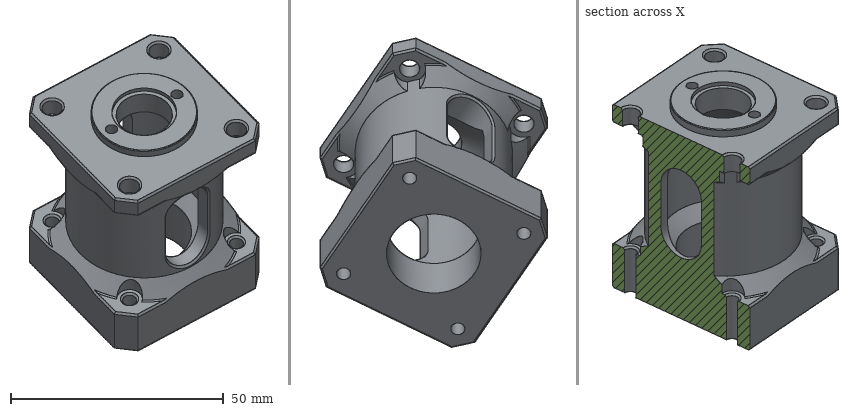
import cadquery as cq
import math

SIDE = 42.0
CORNER_CUT = 4.0
EDGE = 0.5

HEIGHT = 54.0
BOSS_HEIGHT = 2.0
BASE_PAD = 12.65
TOP_PAD = 46.85
SHAFT_BOTTOM = 16.5
SHAFT_TOP = 43.0

SEAT_EDGE = 0.25

SHAFT_DIA = 37.0
BOSS_DIA = 25.0
BOSS_EDGE = 0.2
BORE_DIA = 13.2
RECESS_DIA = 15.2
RECESS_DEPTH = 1.0
PIN_DIA = 2.8
PIN_OFFSET = 9.5

CAVITY_DIA = 29.0
REGISTER_DIA = 22.2

SCREW_OFFSET = 15.5
TOP_SCREW_DIA = 4.75
BASE_SCREW_DIA = 3.3
TOP_POCKET_DIA = 7.55
BASE_POCKET_DIA = 6.05

WINDOW_WIDTH = 12.15
WINDOW_HEIGHT = 24.6
WINDOW_EDGE = 0.55

CLEARANCE = 0.05

TOP_FACE = HEIGHT - BOSS_HEIGHT
MID_HEIGHT = (SHAFT_BOTTOM + SHAFT_TOP) / 2
SHAFT_RADIUS = SHAFT_DIA / 2
SCREWS = [(i * SCREW_OFFSET, j * SCREW_OFFSET) for i in (-1, 1) for j in (-1, 1)]
PINS = [(0, -PIN_OFFSET), (0, PIN_OFFSET)]


def cylinders(diameter, z_low, z_high, points=((0, 0),)):
    """Vertical cylinders between two heights, one at each point."""
    base = cq.Workplane("XY", origin=(0, 0, z_low))
    return base.pushPoints(points).circle(diameter / 2).extrude(z_high - z_low)


def flange_block(z_low, z_high, side, corner_cut):
    """Square block with its four vertical corners cut at 45 degrees."""
    block = cq.Workplane("XY", origin=(0, 0, z_low)).rect(side, side).extrude(z_high - z_low)
    return block.edges("|Z").chamfer(corner_cut)


def frustum(radius_a, z_a, radius_b, z_b):
    """Solid cone frustum on the Z axis between two heights."""
    outline = [(0, z_a), (radius_a, z_a), (radius_b, z_b), (0, z_b)]
    return cq.Workplane("XZ").polyline(outline).close().revolve(360, (0, 0), (0, 1))


def flange(z_low, z_high, z_pad, z_shaft, pocket_dia):
    """Flange plate with chamfered rims and a 45 degree cone leading to the shaft.

    The cone is trimmed to the plate outline and cleared by a round pocket at each screw.
    """
    plate = flange_block(z_low, z_high, SIDE, CORNER_CUT).faces("<Z or >Z").edges().chamfer(EDGE)

    toward_shaft = math.copysign(1, z_shaft - z_pad)
    pad_radius = SHAFT_RADIUS + abs(z_shaft - z_pad)
    cone = frustum(SHAFT_RADIUS, z_shaft, pad_radius + EDGE, z_pad - toward_shaft * EDGE)
    cone = cone.intersect(flange_block(0, HEIGHT, SIDE, CORNER_CUT))

    bevel_rise = SEAT_EDGE * math.sin(math.radians(45))
    bevel = frustum(pad_radius + SEAT_EDGE, z_pad, pad_radius - bevel_rise, z_pad + toward_shaft * bevel_rise)
    pad_cut = CORNER_CUT - EDGE * math.tan(math.radians(45 / 2)) * math.sqrt(2)
    bevel = bevel.intersect(flange_block(0, HEIGHT, SIDE - 2 * EDGE, pad_cut))

    pockets = cylinders(pocket_dia, min(z_pad, z_shaft), max(z_pad, z_shaft), SCREWS)
    return plate.union(cone.union(bevel).cut(pockets))


def screw_holes(diameter, z_low, z_high):
    """Screw hole cutters, each widened by a 45 degree chamfer at its upper end."""
    mouth = (
        cq.Workplane("XY", origin=(0, 0, z_high))
        .circle(diameter / 2 + EDGE)
        .extrude(-EDGE, taper=45)
    )
    hole = cylinders(diameter, z_low, z_high).union(mouth)
    cutters = [hole.translate((x, y, 0)).val() for x, y in SCREWS]
    return cq.Workplane("XY").newObject([cq.Compound.makeCompound(cutters)])


def cavity():
    """Round chamber with a 45 degree funnel down to the register and a 45 degree roof up to the bore."""
    chamber = cylinders(CAVITY_DIA, BASE_PAD, TOP_PAD)
    chamber = chamber.faces("<Z").edges().chamfer((CAVITY_DIA - REGISTER_DIA) / 2)
    return chamber.faces(">Z").edges().chamfer((CAVITY_DIA - BORE_DIA) / 2)


def window():
    """Upright slot along X through both shaft walls."""
    return (
        cq.Workplane("YZ", origin=(0, 0, MID_HEIGHT))
        .slot2D(WINDOW_HEIGHT, WINDOW_WIDTH, 90)
        .extrude(SHAFT_DIA, both=True)
    )


def shaft():
    """Solid shaft crossed by the window, with the outer window rims chamfered."""
    body = cylinders(SHAFT_DIA, SHAFT_BOTTOM, SHAFT_TOP).cut(window())
    rim_inner = math.sqrt(SHAFT_RADIUS**2 - (WINDOW_WIDTH / 2) ** 2) - CLEARANCE
    rim_outer = SHAFT_RADIUS - CLEARANCE
    for x_low, x_high in [(-rim_outer, -rim_inner), (rim_inner, rim_outer)]:
        low = (x_low, -WINDOW_WIDTH, SHAFT_BOTTOM + CLEARANCE)
        high = (x_high, WINDOW_WIDTH, SHAFT_TOP - CLEARANCE)
        body = body.edges(cq.selectors.BoxSelector(low, high)).chamfer(WINDOW_EDGE)
    return body


base = flange(0, BASE_PAD, BASE_PAD, SHAFT_BOTTOM, BASE_POCKET_DIA)
top = flange(TOP_PAD, TOP_FACE, TOP_PAD, SHAFT_TOP, TOP_POCKET_DIA)
boss = cylinders(BOSS_DIA, TOP_FACE, HEIGHT).faces(">Z").edges().chamfer(BOSS_EDGE)
neck = cylinders(SHAFT_DIA, SHAFT_TOP, TOP_PAD)
result = base.union(top).union(boss).union(shaft()).union(neck)

result = result.cut(cylinders(REGISTER_DIA, 0, BASE_PAD))
result = result.cut(cavity())
result = result.cut(cylinders(BORE_DIA, TOP_PAD, HEIGHT))
result = result.cut(cylinders(RECESS_DIA, HEIGHT - RECESS_DEPTH, HEIGHT))

result = result.cut(cylinders(PIN_DIA, MID_HEIGHT, HEIGHT, PINS))
result = result.cut(screw_holes(TOP_SCREW_DIA, TOP_PAD, TOP_FACE))
result = result.cut(screw_holes(BASE_SCREW_DIA, 0, BASE_PAD))